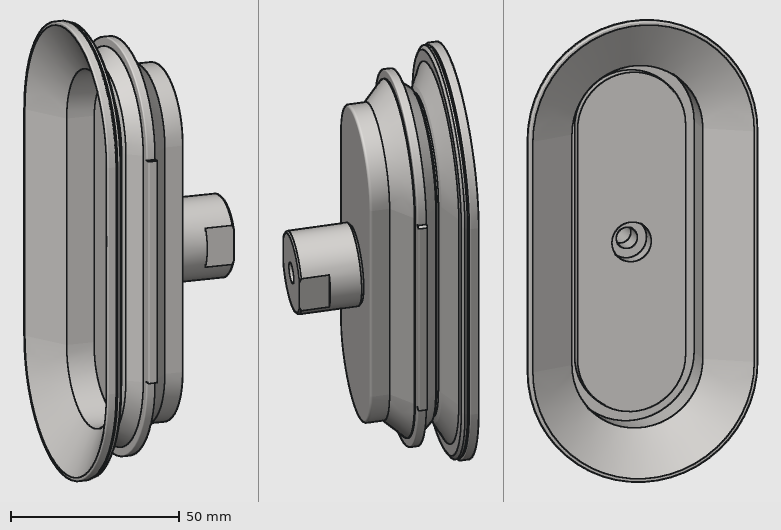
import cadquery as cq

straight_length = 70.0
end_center_z = straight_length / 2

rim_radius = 35.0
rim_height = 2.8
rim_fillet = 0.4
bead_groove_radius = 34.0
bead_radius = 34.5
bead_bottom = 3.4
bead_edge_height = 4.2
bead_top_radius = 33.2
bead_top = 5.0

lip_radius = 29.7
neck_radius = 21.0
neck_bottom = 9.2
neck_top = 9.8
flank_radius = 22.7
lip_flank_top = 8.7
fold_flank_bottom = 10.5
fold_flank_top = 17.8
fold_radius = 26.2
collar_radius = 20.0
collar_bottom = 24.0
collar_top = 30.0
collar_fillet = 0.8

rib_bottom = 14.7
rib_height = 2.8
rib_top = rib_bottom + rib_height
rib_end_radius = 29.0
rib_side_half_width = 30.7
rib_side_length = 68.6
rib_fillet = 0.4

mouth_radius = 33.9
pocket_radius = 20.0
pocket_edge_height = 8.0
pocket_floor = 19.2
pad_radius = 16.5
pad_face = 15.4

counterbore_diameter = 12.0
counterbore_bottom = 21.5
air_hole_diameter = 6.5

fitting_diameter = 25.2
fitting_top = 49.4
fitting_top_chamfer = 0.5
fitting_base_chamfer = 0.8
wrench_width = 22.1
wrench_length = 9.1


def oblong(half_profile):
    """Solid whose (radius, height) half profile, starting and ending on the axis, follows the oblong."""
    mirrored = [(-radius, height) for radius, height in reversed(half_profile) if radius > 0]
    body = (
        cq.Workplane("XY", origin=(0, 0, -end_center_z))
        .polyline(half_profile + mirrored)
        .close()
        .extrude(straight_length)
    )
    for z in (-end_center_z, end_center_z):
        end = (
            cq.Workplane("XY", origin=(0, 0, z))
            .polyline(half_profile)
            .close()
            .revolve(360, (0, 0), (0, 1))
        )
        body = body.union(end)
    return body


def oblong_plate(radius, bottom, top):
    """Straight-walled oblong between two heights."""
    return (
        cq.Workplane("XZ", origin=(0, bottom, 0))
        .slot2D(straight_length + 2 * radius, 2 * radius, 90)
        .extrude(bottom - top)
    )


def cylinder(diameter, bottom, top):
    """Round bar along Y between two heights."""
    return cq.Workplane("XZ", origin=(0, bottom, 0)).circle(diameter / 2).extrude(bottom - top)


def make_rim():
    rim = oblong_plate(rim_radius, 0, rim_height)
    return rim.faces("<Y or >Y").edges().fillet(rim_fillet)


def make_bellows():
    return oblong([
        (0, rim_height),
        (bead_groove_radius, rim_height),
        (bead_groove_radius, bead_bottom),
        (bead_radius, bead_bottom),
        (bead_radius, bead_edge_height),
        (bead_top_radius, bead_top),
        (lip_radius, bead_top),
        (flank_radius, lip_flank_top),
        (neck_radius, neck_bottom),
        (neck_radius, neck_top),
        (flank_radius, fold_flank_bottom),
        (fold_radius, rib_bottom),
        (fold_radius, fold_flank_top),
        (collar_radius, collar_bottom),
        (0, collar_bottom),
    ])


def make_collar():
    collar = oblong_plate(collar_radius, collar_bottom, collar_top)
    return collar.faces(">Y").edges().fillet(collar_fillet)


def make_rib():
    ends = oblong_plate(rib_end_radius, rib_bottom, rib_top).faces("<Y or >Y").edges().fillet(rib_fillet)
    sides = (
        cq.Workplane("XY")
        .box(2 * rib_side_half_width, rib_height, rib_side_length)
        .edges("|Z")
        .fillet(rib_fillet)
        .translate((0, (rib_bottom + rib_top) / 2, 0))
    )
    return ends.union(sides)


def make_pocket():
    flare = oblong([
        (0, 0),
        (mouth_radius, 0),
        (pocket_radius, pocket_edge_height),
        (0, pocket_edge_height),
    ])
    return flare.union(oblong_plate(pocket_radius, pocket_edge_height, pocket_floor))


def make_cup():
    cup = make_rim().union(make_bellows()).union(make_collar()).union(make_rib())
    cup = cup.cut(make_pocket())
    cup = cup.union(oblong_plate(pad_radius, pad_face, pocket_floor))
    cup = cup.cut(cylinder(counterbore_diameter, pad_face, counterbore_bottom))
    return cup.cut(cylinder(air_hole_diameter, counterbore_bottom, collar_top))


def make_fitting():
    fitting = cylinder(fitting_diameter, collar_top, fitting_top)
    fitting = fitting.faces(">Y").edges().chamfer(fitting_top_chamfer)
    fitting = fitting.faces("<Y").edges().chamfer(fitting_base_chamfer)
    wrench_zone = cq.Workplane("XY").box(fitting_diameter, wrench_length, fitting_diameter)
    wrench_core = cq.Workplane("XY").box(wrench_width, wrench_length, fitting_diameter)
    flats = wrench_zone.cut(wrench_core).translate((0, fitting_top - wrench_length / 2, 0))
    fitting = fitting.cut(flats)
    return fitting.cut(cylinder(air_hole_diameter, collar_top, fitting_top))


cup = make_cup()
fitting = make_fitting()

result = cq.Compound.makeCompound([*cup.solids().vals(), *fitting.solids().vals()])